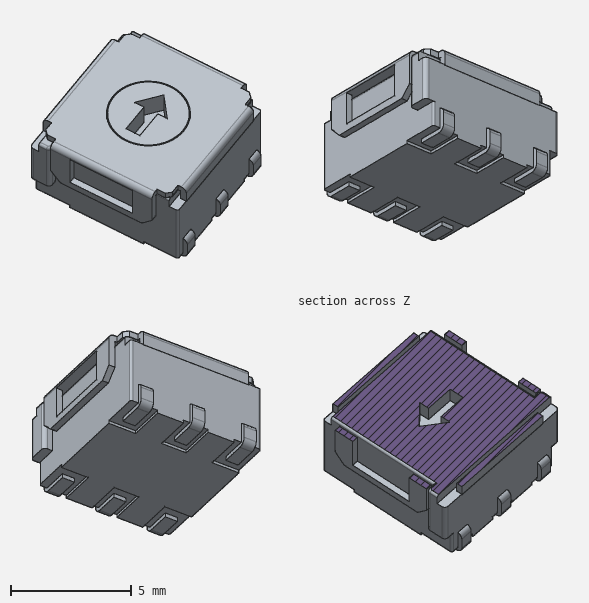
import cadquery as cq

overall_length = 7.5
overall_width = 7.3
overall_height = 4.12

cover_length = 7.08
sheet = 0.3
side_bend_radius = 0.255
end_bend_radius = 0.25
plate_length = 6.255
plate_width = 6.48
plate_corner_chamfer = 0.21
plate_bottom = overall_height - sheet
end_flap_width = 5.19
end_flap_bottom = 3.315
side_flap_length = 5.025
side_flap_bottom = 1.99
side_flap_chamfer = 0.5
window_length = 3.08
window_bottom = 2.33

housing_length = 7.065
housing_width = 6.435
housing_bottom = 0.06
housing_edge_radius = 0.1
shoulder_height = 3.345
core_length = 6.18
core_top_radius = 0.12
flange_length = 1.01
flange_bottom = 1.36
flange_edge_radius = 0.19

terminal_width = 0.6
terminal_pitch = 2.54
terminal_height = 1.155
terminal_thickness = 0.2
terminal_foot_end = 2.34
terminal_top_radius = 0.27
terminal_bottom_radius = 0.32
recess_inner_x = 1.83
recess_top = terminal_thickness
middle_recess_width = 1.215
corner_recess_inner_y = 1.89

rotor_diameter = 3.4
rotor_opening_diameter = 3.495
arrow_half_length = 1.19
arrow_head_base = 0.195
arrow_head_width = 1.62
arrow_stem_width = 0.68
arrow_depth = 1.0


def block(x_min, x_max, y_min, y_max, z_min, z_max):
    """Axis-aligned box given by its limits."""
    size = (x_max - x_min, y_max - y_min, z_max - z_min)
    return cq.Workplane("XY").box(*size, centered=False).translate((x_min, y_min, z_min))


def centred_block(length, width, z_min, z_max):
    """Box centred on the Z axis."""
    return block(-length / 2, length / 2, -width / 2, width / 2, z_min, z_max)


def make_housing():
    """Base block with a raised core under the cover and wide flanges at the -X end."""
    base = centred_block(housing_length, housing_width, housing_bottom, shoulder_height)
    base = base.edges("|Z").fillet(housing_edge_radius)

    core = centred_block(core_length, housing_width, shoulder_height, plate_bottom)
    core = core.faces(">Z").edges("|X").fillet(core_top_radius)

    flange_start = -housing_length / 2
    flange_end = flange_start + flange_length
    half_width = overall_width / 2
    flange = block(flange_start, flange_end, -half_width, half_width, flange_bottom, shoulder_height)
    flange = flange.edges("|Z").fillet(flange_edge_radius)

    flange_core = block(-core_length / 2, flange_end, -half_width, half_width, shoulder_height, plate_bottom)
    flange_core = flange_core.edges("|Z and >X").fillet(flange_edge_radius)
    flange_core = flange_core.faces(">Z").edges("not <X").fillet(core_top_radius)
    return base.union(core).union(flange).union(flange_core)


def cut_terminal_recesses(housing):
    """Shallow recesses in the underside, three along each X end."""
    outer_x = housing_length / 2
    outer_y = housing_width / 2
    y_ranges = (
        (-outer_y, -corner_recess_inner_y),
        (-middle_recess_width / 2, middle_recess_width / 2),
        (corner_recess_inner_y, outer_y),
    )
    for x_min, x_max in ((-outer_x, -recess_inner_x), (recess_inner_x, outer_x)):
        for y_min, y_max in y_ranges:
            housing = housing.cut(block(x_min, x_max, y_min, y_max, 0, recess_top))
    return housing


def make_terminal():
    """L-shaped terminal on the +X side, centred on Y = 0."""
    outer_x = overall_length / 2
    inner_x = outer_x - terminal_top_radius
    half_width = terminal_width / 2
    foot = block(terminal_foot_end, outer_x, -half_width, half_width, 0, terminal_thickness)
    leg = block(inner_x, outer_x, -half_width, half_width, 0, terminal_height)
    terminal = foot.union(leg).clean()
    terminal = terminal.faces("<Z").edges(">X").fillet(terminal_bottom_radius)
    top_centre = (inner_x, terminal_height - terminal_top_radius)
    rounded_top = (
        cq.Workplane("XZ")
        .center(*top_centre)
        .circle(terminal_top_radius)
        .extrude(half_width, both=True)
    )
    corner = block(inner_x, outer_x, -half_width, half_width, top_centre[1], terminal_height)
    return terminal.cut(corner.cut(rounded_top))


def make_side_flap_outline():
    """Side flap silhouette with two chamfered lower corners, through the full width."""
    flap = centred_block(side_flap_length, overall_width, side_flap_bottom, overall_height)
    return flap.faces("<Z").edges("|Y").chamfer(side_flap_chamfer)


def make_cover():
    """Top plate with bent flaps on all four sides and a window in each side flap."""
    plate = centred_block(plate_length, plate_width, plate_bottom, overall_height)
    plate = plate.edges("|Z").chamfer(plate_corner_chamfer)

    side_flaps = make_side_flap_outline().faces(">Z").edges("|X").fillet(side_bend_radius)
    side_inside = centred_block(
        side_flap_length, overall_width - 2 * sheet, side_flap_bottom, plate_bottom
    )
    windows = centred_block(window_length, overall_width, window_bottom, plate_bottom)
    side_flaps = side_flaps.cut(side_inside).cut(windows)

    end_flaps = centred_block(cover_length, end_flap_width, end_flap_bottom, overall_height)
    end_flaps = end_flaps.faces(">Z").edges("|Y").fillet(end_bend_radius)
    end_inside = centred_block(cover_length - 2 * sheet, end_flap_width, end_flap_bottom, plate_bottom)
    end_flaps = end_flaps.cut(end_inside)
    return plate.union(side_flaps).union(end_flaps)


def make_rotor_gap():
    """Ring-shaped gap between the rotor and the cover opening."""
    return (
        cq.Workplane("XY", origin=(0, 0, plate_bottom))
        .circle(rotor_opening_diameter / 2)
        .circle(rotor_diameter / 2)
        .extrude(sheet)
    )


def make_arrow_slot():
    """Arrow pointing to +Y, sunk into the rotor."""
    stem = arrow_stem_width / 2
    head = arrow_head_width / 2
    outline = [
        (0, arrow_half_length),
        (head, arrow_head_base),
        (stem, arrow_head_base),
        (stem, -arrow_half_length),
        (-stem, -arrow_half_length),
        (-stem, arrow_head_base),
        (-head, arrow_head_base),
    ]
    top = cq.Workplane("XY", origin=(0, 0, overall_height))
    return top.polyline(outline).close().extrude(-arrow_depth)


result = cut_terminal_recesses(make_housing()).union(make_cover())

right_terminal = make_terminal()
left_terminal = right_terminal.mirror("YZ")
for y in (-terminal_pitch, 0, terminal_pitch):
    for terminal in (left_terminal, right_terminal):
        result = result.union(terminal.translate((0, y, 0)))

result = result.cut(make_rotor_gap()).cut(make_arrow_slot())